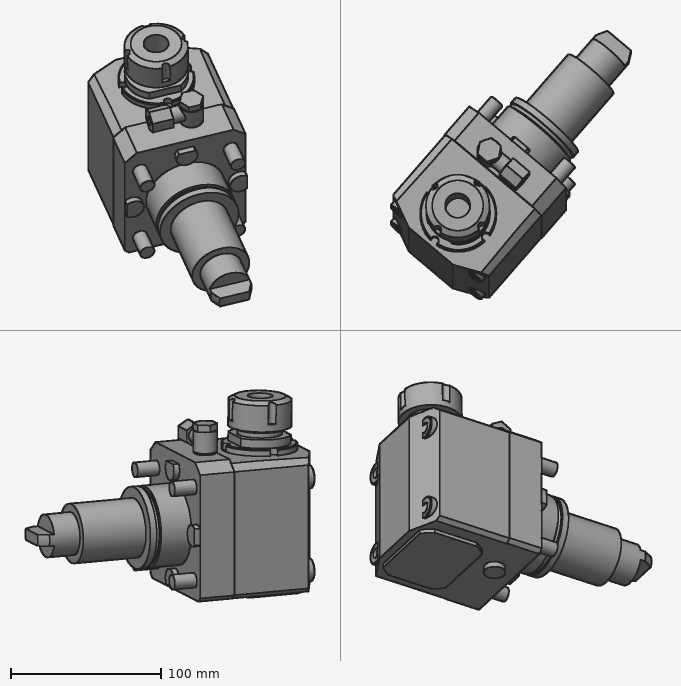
import cadquery as cq
import math


housing_half_width = 42.0
nose_half_width = 19.3
nose_length = 10.5
housing_top = 46.7
tilt_start_x = 42.7
spindle_tilt = 1.0
bottom_z = -45.0
flange_start_x = 64.0
flange_end_x = 89.0
flange_half_width = 42.5
flange_top = 49.0
top_chamfer_y = 8.5
top_chamfer_z = 7.0
bottom_chamfer = 2.9

spigot_radius = 27.6
groove_floor_radius = 25.5
o_ring_radius = 26.8
o_ring_width = 2.7
groove_start_x = 110.8
groove_end_x = 114.0
spigot_end_x = 118.7
shank_radius = 20.0
shank_end_x = 164.0
tail_radius = 14.5
tail_end_x = 182.5
tang_taper_x = 186.0
tang_tip_radius = 10.8
tang_end_x = 193.0
tang_thickness = 7.7

bolt_offset = 31.8
bolt_radius = 5.0
bolt_end_x = 104.8
key_radius = 7.3
key_offset = 37.6
key_reach = 42.3
key_thickness = 4.0
screw_head_radius = 8.1
screw_socket_radius = 3.7
screw_head_x = 4.6
screw_head_chamfer = 0.8

spindle_x = 28.2
ring_radius = 25.5
ring_height = 4.5
ring_chamfer = 0.8
ring_notch_depth = 4.0
collar_radius = 21.2
collar_flat_width = 36.3
collar_top = 10.2
neck_radius = 15.0
neck_top = 13.7
shoulder_radius = 16.2
nut_bottom = 15.6
nut_radius = 21.2
nut_slot_bottom = 20.5
nut_chamfer_bottom = 33.5
nut_top = 35.9
nut_face_radius = 17.0
slot_radius = 2.7
bore_radius = 8.3

fitting_x = 71.6
fitting_y = 10.0
washer_radius = 7.1
washer_top = 50.2
banjo_radius = 8.1
banjo_top = 64.8
cap_top = 69.5
hex_flats = 14.3
hex_turn = 30
pipe_z = 57.9
pipe_radius = 5.6
pipe_nut_start_y = -4.8
pipe_nut_end_y = -19.5
pipe_hole_radius = 2.0
pipe_mouth_radius = 3.0
countersink_angle = 90

cover_length = 48.5
cover_width = 60.0
cover_radius = 34.2
cover_depth = 2.9
plug_y = -10.2
plug_radius = 7.1
plug_bottom = -49.0

overlap = 2.0

tilt_slope = math.tan(math.radians(spindle_tilt))
quarter_turns = [0, 90, 180, 270]


def x_cylinder(radius, start_x, end_x, y=0.0, z=0.0):
    circle = cq.Workplane("YZ", origin=(start_x, y, z)).circle(radius)
    return circle.extrude(end_x - start_x)


def z_cylinder(radius, bottom, top, x=0.0, y=0.0):
    return cq.Workplane("XY", origin=(x, y, bottom)).circle(radius).extrude(top - bottom)


def body_section_prism(start_x, end_x, half):
    """Cross-section of the given half width with chamfered edges, extruded along X."""
    right_side = [
        (half - bottom_chamfer, bottom_z),
        (half, bottom_z + bottom_chamfer),
        (half, flange_top - top_chamfer_z),
        (half - top_chamfer_y, flange_top),
    ]
    left_side = [(-y, z) for y, z in reversed(right_side)]
    section = cq.Workplane("YZ", origin=(start_x, 0, 0)).polyline(right_side + left_side).close()
    return section.extrude(end_x - start_x)


def make_housing():
    """Pointed-nose plan, with a roof that slopes square to the spindle axis."""
    end_x = flange_start_x + overlap
    plan = [
        (0, -nose_half_width),
        (nose_length, -housing_half_width),
        (end_x, -housing_half_width),
        (end_x, housing_half_width),
        (nose_length, housing_half_width),
        (0, nose_half_width),
    ]
    side = [
        (0, bottom_z),
        (end_x, bottom_z),
        (end_x, housing_top),
        (tilt_start_x, housing_top),
        (0, housing_top - tilt_start_x * tilt_slope),
    ]
    height = flange_top - bottom_z
    plan_prism = cq.Workplane("XY", origin=(0, 0, bottom_z)).polyline(plan).close().extrude(height)
    side_prism = cq.Workplane("XZ").polyline(side).close().extrude(flange_half_width, both=True)
    return plan_prism.intersect(side_prism).intersect(body_section_prism(0, end_x, housing_half_width))


def make_shank():
    """Stepped round shank with an O-ring in its spigot and a flat driving tang."""
    start_x = flange_end_x - overlap
    flange_side = [
        (start_x, 0),
        (start_x, spigot_radius),
        (groove_start_x, spigot_radius),
        (groove_start_x, groove_floor_radius),
        (groove_end_x - o_ring_width, groove_floor_radius),
    ]
    tang_side = [
        (groove_end_x, spigot_radius),
        (spigot_end_x, spigot_radius),
        (spigot_end_x, shank_radius),
        (shank_end_x, shank_radius),
        (shank_end_x, tail_radius),
        (tang_taper_x, tail_radius),
        (tang_end_x, tang_tip_radius),
        (tang_end_x, 0),
    ]
    o_ring_crest = (groove_end_x - o_ring_width / 2, o_ring_radius)
    profile = cq.Workplane("XY").polyline(flange_side)
    profile = profile.threePointArc(o_ring_crest, (groove_end_x, groove_floor_radius))
    for point in tang_side:
        profile = profile.lineTo(*point)
    shank = profile.close().revolve(360, (0, 0, 0), (1, 0, 0))
    tang_length = tang_end_x - tail_end_x
    tang_zone = cq.Workplane("XY").box(tang_length, 2 * tail_radius, 2 * tail_radius)
    tang_slab = cq.Workplane("XY").box(tang_length, 2 * tail_radius, tang_thickness)
    tang_waste = tang_zone.cut(tang_slab).translate((tail_end_x + tang_length / 2, 0, 0))
    return shank.cut(tang_waste)


def make_key():
    """Round location key with a flat outer side, above the shank; the trim box cuts that flat."""
    start_x = flange_end_x - overlap
    end_x = flange_end_x + key_thickness
    disc = x_cylinder(key_radius, start_x, end_x, z=key_offset)
    trim = cq.Workplane("XY").box(2 * end_x, 2 * key_radius, 2 * key_reach)
    return disc.intersect(trim)


def make_screw_head(y, z):
    """Socket screw head standing out of the slanted nose face."""
    head = x_cylinder(screw_head_radius, screw_head_x, nose_length + overlap, y, z)
    head = head.faces("<X").chamfer(screw_head_chamfer)
    return head.cut(x_cylinder(screw_socket_radius, screw_head_x, nose_length + overlap, y, z))


def make_spindle_head():
    """Bearing ring, flatted collar, neck and collet nut, in the spindle's own axes."""
    ring = z_cylinder(ring_radius, -overlap, ring_height).faces(">Z").chamfer(ring_chamfer)
    notch_centre = ring_radius - ring_notch_depth + slot_radius
    notch = z_cylinder(slot_radius, 0, ring_height, x=notch_centre)
    notch_mouth = cq.Workplane("XY").box(
        ring_notch_depth, 2 * slot_radius, ring_height, centered=(False, True, False)
    )
    notch = notch.union(notch_mouth.translate((notch_centre, 0, 0)))
    for angle in quarter_turns:
        ring = ring.cut(notch.rotate((0, 0, 0), (0, 0, 1), angle))

    collar = z_cylinder(collar_radius, 0, collar_top)
    collar = collar.intersect(cq.Workplane("XY").box(collar_flat_width, 2 * collar_radius, 2 * collar_top))

    nut_profile = [
        (0, 0),
        (neck_radius, 0),
        (neck_radius, neck_top),
        (shoulder_radius, neck_top),
        (shoulder_radius, nut_bottom),
        (nut_radius, nut_bottom),
        (nut_radius, nut_chamfer_bottom),
        (nut_face_radius, nut_top),
        (0, nut_top),
    ]
    nut = cq.Workplane("XZ").polyline(nut_profile).close().revolve(360, (0, 0, 0), (0, 1, 0))
    slot = z_cylinder(slot_radius, nut_slot_bottom, nut_top, x=nut_radius)
    for angle in quarter_turns:
        nut = nut.cut(slot.rotate((0, 0, 0), (0, 0, 1), angle))
    nut = nut.cut(z_cylinder(bore_radius, nut_bottom, nut_top))
    return ring.union(collar).union(nut)


def make_coolant_fitting():
    """Banjo bolt with a side pipe that ends in a hexagon nut."""
    hex_corners = hex_flats / math.cos(math.radians(hex_turn))
    washer = z_cylinder(washer_radius, flange_top - overlap, washer_top, fitting_x, fitting_y)
    banjo = z_cylinder(banjo_radius, washer_top, banjo_top, fitting_x, fitting_y)
    cap = cq.Workplane("XY").polygon(6, hex_corners).extrude(cap_top - banjo_top)
    cap = cap.rotate((0, 0, 0), (0, 0, 1), hex_turn).translate((fitting_x, fitting_y, banjo_top))

    pipe = cq.Workplane("XZ", origin=(fitting_x, fitting_y, pipe_z)).circle(pipe_radius)
    pipe = pipe.extrude(fitting_y - pipe_nut_start_y)
    nut_length = pipe_nut_start_y - pipe_nut_end_y
    pipe_nut = cq.Workplane("XZ").polygon(6, hex_corners).extrude(nut_length)
    pipe_nut = pipe_nut.faces("<Y").workplane().cskHole(
        2 * pipe_hole_radius, 2 * pipe_mouth_radius, countersink_angle, depth=nut_length
    )
    pipe_nut = pipe_nut.rotate((0, 0, 0), (0, 1, 0), hex_turn).translate((fitting_x, pipe_nut_start_y, pipe_z))
    return washer.union(banjo).union(cap).union(pipe).union(pipe_nut)


def make_bottom_cover(x):
    """Round cover trimmed to a rectangle."""
    disc = z_cylinder(cover_radius, bottom_z - cover_depth, bottom_z + overlap)
    trim = cq.Workplane("XY", origin=(0, 0, bottom_z - cover_depth)).rect(cover_length, cover_width)
    trim = trim.extrude(cover_depth + overlap)
    return disc.intersect(trim).translate((x, 0, 0))


flange = body_section_prism(flange_start_x, flange_end_x, flange_half_width)
result = make_housing().union(flange).union(make_shank())

for y in (-bolt_offset, bolt_offset):
    for z in (-bolt_offset, bolt_offset):
        result = result.union(x_cylinder(bolt_radius, flange_end_x - overlap, bolt_end_x, y, z))
        result = result.union(make_screw_head(y, z))

key = make_key()
for angle in quarter_turns:
    result = result.union(key.rotate((0, 0, 0), (1, 0, 0), angle))

seat_z = housing_top - (tilt_start_x - spindle_x) * tilt_slope
spindle_head = make_spindle_head().rotate((0, 0, 0), (0, 1, 0), -spindle_tilt)
result = result.union(spindle_head.translate((spindle_x, 0, seat_z)))

result = result.union(make_coolant_fitting())

cover_x = spindle_x + (seat_z - bottom_z) * tilt_slope
result = result.union(make_bottom_cover(cover_x))
result = result.union(z_cylinder(plug_radius, plug_bottom, bottom_z + overlap, fitting_x, plug_y))